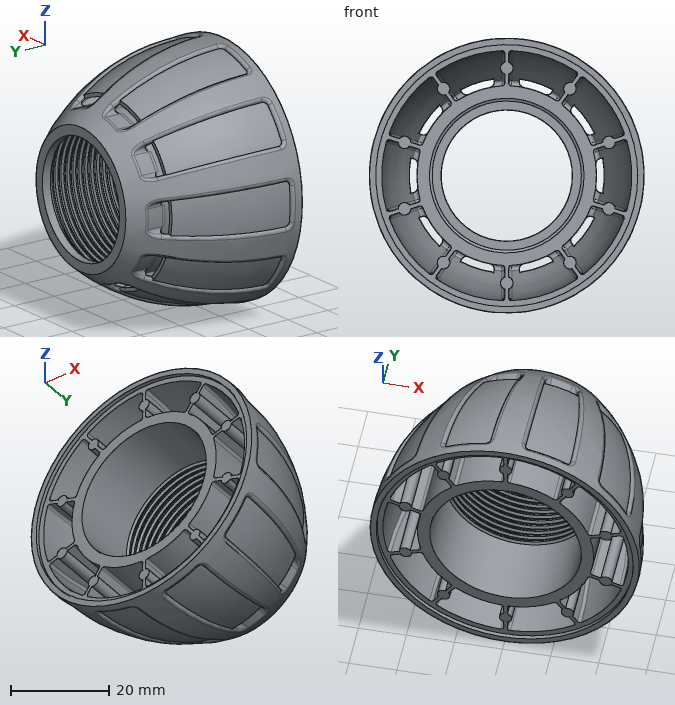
import cadquery as cq
import math

LENGTH = 35.5
WIDEST_RADIUS = 28.01

WIDEST_Y = 2.0
DOME_ARC_RADIUS = 51.4

FLOOR_RADIUS = 27.3
FLOOR_ARC_RADIUS = 52.9
CAVITY_RADIUS = 25.5
CAVITY_ARC_RADIUS = 60.8

RECESS_RADIUS = 26.7
RECESS_DEPTH = 0.9

TUBE_RADIUS = 18.3
BORE_RADIUS = 15.75
LIP_RADIUS = 13.35
LIP_THICKNESS = 2.0
RING_CREST_RADIUS = 15.2
RING_COUNT = 11
RING_PITCH = 1.5
RING_BASE_WIDTH = 1.02
RING_CREST_WIDTH = 0.375
FIRST_RING_Y = 16.1

SECTOR_COUNT = 10
SECTOR_ANGLE = 360 / SECTOR_COUNT
RIB_THICKNESS = 0.8
PIN_RADIUS = 1.28
PIN_CIRCLE_RADIUS = 21.9
CAVITY_FILLET = 0.6

POCKET_HALF_ANGLE = 10.3
POCKET_START_Y = 2.6
FLOOR_END_Y = 27.6
POCKET_INNER_CORNER = 1.1
POCKET_START_CORNER = 1.0
POCKET_RIM_FILLET = 0.8

CUT_MARGIN = 5.0


def arc_radius_at(widest_radius, arc_radius, y):
    """Distance from the axis, at height y, of an arc that is widest at WIDEST_Y."""
    return widest_radius - arc_radius + math.sqrt(arc_radius**2 - (y - WIDEST_Y) ** 2)


def arc_y_at(widest_radius, arc_radius, radius):
    """Height at which the same kind of arc has come in to the given distance from the axis."""
    return WIDEST_Y + math.sqrt(arc_radius**2 - (arc_radius - widest_radius + radius) ** 2)


def dished_solid(widest_radius, arc_radius, inner_radius, start_y, end_y):
    """Turned solid between a cylinder and an arched outer wall."""
    start, middle, end = (
        (arc_radius_at(widest_radius, arc_radius, y), y)
        for y in (start_y, (start_y + end_y) / 2, end_y)
    )
    return (
        cq.Workplane("XY")
        .moveTo(inner_radius, start_y)
        .lineTo(*start)
        .threePointArc(middle, end)
        .lineTo(inner_radius, end_y)
        .close()
        .revolve(360, (0, 0, 0), (0, 1, 0))
    )


def turned(shape, angle):
    return shape.rotate((0, 0, 0), (0, 1, 0), angle)


def ring_of(shape, first_angle=0.0):
    """Copies of a shape, one per sector, around the Y axis."""
    copies = cq.Workplane("XY")
    for index in range(SECTOR_COUNT):
        copies = copies.add(turned(shape, first_angle + index * SECTOR_ANGLE).vals())
    return copies


def sector_prism(half_angle, inner_radius, outer_radius, start_y, end_y):
    """Straight prism along Y over a sector centred on +X."""
    angle = math.radians(half_angle)
    cosine, sine = math.cos(angle), math.sin(angle)
    return (
        cq.Workplane("XZ", origin=(0, start_y, 0))
        .moveTo(inner_radius * cosine, -inner_radius * sine)
        .lineTo(outer_radius * cosine, -outer_radius * sine)
        .lineTo(outer_radius * cosine, outer_radius * sine)
        .lineTo(inner_radius * cosine, inner_radius * sine)
        .threePointArc((inner_radius, 0), (inner_radius * cosine, -inner_radius * sine))
        .close()
        .extrude(start_y - end_y)
    )


def pocket_cutter():
    """One pocket, with its corners rounded beside the tube and at its start."""
    cutter = sector_prism(
        POCKET_HALF_ANGLE, TUBE_RADIUS, WIDEST_RADIUS + CUT_MARGIN, POCKET_START_Y, LENGTH + CUT_MARGIN
    )
    inner_edges = cq.selectors.BoxSelector(
        (0, FLOOR_END_Y / 2, -WIDEST_RADIUS), (TUBE_RADIUS, LENGTH, WIDEST_RADIUS)
    )
    cutter = cutter.edges("|Y").edges(inner_edges).fillet(POCKET_INNER_CORNER)
    side_edges_at_start = cutter.faces("<Y").edges("not(|Z)").edges("%LINE")
    return side_edges_at_start.fillet(POCKET_START_CORNER)


def cavity_cutter():
    """One cavity between two ribs, rounded along its corners and its closed end."""
    end_y = arc_y_at(CAVITY_RADIUS, CAVITY_ARC_RADIUS, TUBE_RADIUS)
    core = dished_solid(CAVITY_RADIUS, CAVITY_ARC_RADIUS, 0, RECESS_DEPTH, end_y)
    tube = cq.Workplane("XZ").circle(TUBE_RADIUS).extrude(-LENGTH)
    ring = core.cut(tube)
    half = math.radians(SECTOR_ANGLE / 2)
    tip = RIB_THICKNESS / 2 / math.sin(half)
    reach = WIDEST_RADIUS + CUT_MARGIN
    spread = (reach - tip) * math.tan(half)
    wedge = (
        cq.Workplane("XZ")
        .polyline([(tip, 0), (reach, -spread), (reach, spread)])
        .close()
        .extrude(-LENGTH)
    )
    cavity = turned(ring, 180).intersect(wedge)
    return cavity.edges("not(<Y)").fillet(CAVITY_FILLET)


def pins():
    """Round pins centred on the ribs."""
    pin = (
        cq.Workplane("XZ")
        .center(PIN_CIRCLE_RADIUS, 0)
        .circle(PIN_RADIUS)
        .extrude(-LENGTH)
    )
    return ring_of(pin, SECTOR_ANGLE / 2)


def bore_cutter():
    """Bore, recess and lip opening as one turned shape, with the thread rings left standing."""
    profile = (
        cq.Workplane("XY")
        .moveTo(0, -CUT_MARGIN)
        .lineTo(RECESS_RADIUS, -CUT_MARGIN)
        .lineTo(RECESS_RADIUS, RECESS_DEPTH)
        .lineTo(BORE_RADIUS, RECESS_DEPTH)
    )
    flank = (RING_BASE_WIDTH - RING_CREST_WIDTH) / 2
    for index in range(RING_COUNT):
        start = FIRST_RING_Y + index * RING_PITCH
        profile = (
            profile.lineTo(BORE_RADIUS, start)
            .lineTo(RING_CREST_RADIUS, start + flank)
            .lineTo(RING_CREST_RADIUS, start + flank + RING_CREST_WIDTH)
            .lineTo(BORE_RADIUS, start + RING_BASE_WIDTH)
        )
    profile = (
        profile.lineTo(BORE_RADIUS, LENGTH - LIP_THICKNESS)
        .lineTo(LIP_RADIUS, LENGTH - LIP_THICKNESS)
        .lineTo(LIP_RADIUS, LENGTH + CUT_MARGIN)
        .lineTo(0, LENGTH + CUT_MARGIN)
    )
    return profile.close().revolve(360, (0, 0, 0), (0, 1, 0))


def pocketed_dome():
    """Bored dome with the pockets cut down to the tube and their outer rims rounded over."""
    dome = turned(dished_solid(WIDEST_RADIUS, DOME_ARC_RADIUS, 0, 0, LENGTH), SECTOR_ANGLE / 2)
    dome = dome.cut(bore_cutter()).cut(ring_of(pocket_cutter()))
    dome_face = dome.faces("%REVOLUTION").val()
    rim_edges = [edge for rim in dome_face.innerWires() for edge in rim.Edges()]
    return dome.newObject(rim_edges).fillet(POCKET_RIM_FILLET)


def pocket_floors():
    """Dished band that closes the pockets up to the end of their floors."""
    inner_radius = (BORE_RADIUS + TUBE_RADIUS) / 2
    start_y = POCKET_START_Y / 2
    band = dished_solid(FLOOR_RADIUS, FLOOR_ARC_RADIUS, inner_radius, start_y, FLOOR_END_Y)
    return turned(band, SECTOR_ANGLE / 2)


def cavities():
    """All cavities, with the pins left standing in them."""
    return ring_of(cavity_cutter().cut(pins()))


result = pocketed_dome().union(pocket_floors(), clean=False).cut(cavities(), clean=False)